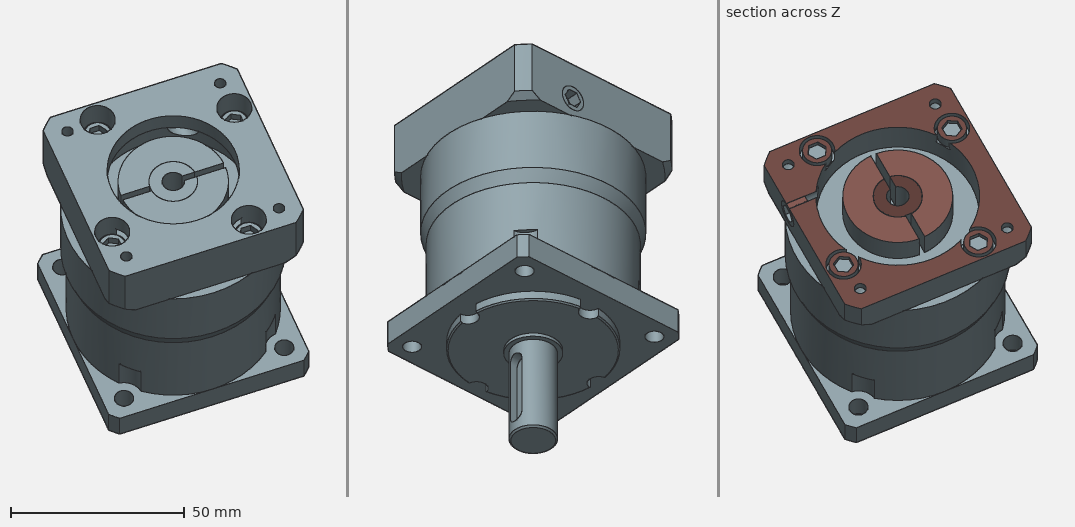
import cadquery as cq
import math


SHOULDER_Z = 30.9
PILOT_Z = 32.0
FLANGE_Z = 35.0
FLANGE_TOP_Z = 43.0
FRONT_BAND_TOP_Z = 52.6
CONE_BOTTOM_Z = 69.3
CONE_TOP_Z = 73.6
HOUSING_TOP_Z = 93.5
TOTAL_HEIGHT = 112.0

HOUSING_D = 65.0
BARREL_D = 61.8
FLANGE_WIDTH = BARREL_D
FLANGE_TURNED_D = 84.0
MOUNT_CIRCLE_D = 70.0
MOUNT_HOLE_D = 5.5
MOUNT_CLEARANCE_D = 11.0
PILOT_D = 50.0
PILOT_CHAMFER = 0.5
PILOT_NOTCH_D = 6.7

SHAFT_D = 14.0
SHOULDER_D = 17.0
SHAFT_CHAMFER = 0.6
KEYWAY_WIDTH = 5.0
KEYWAY_LENGTH = 23.9
KEYWAY_DEPTH = 3.0
KEYWAY_BOTTOM_Z = 3.7

ADAPTER_WIDTH = 60.0
ADAPTER_TURNED_D = 80.0
ADAPTER_CHAMFER = 2.0
MOTOR_PILOT_D = 38.1
MOTOR_PILOT_DEPTH = 5.8
CAVITY_D = 47.0
MOTOR_HOLE_SPACING = 47.2
MOTOR_HOLE_D = 3.2
MOTOR_HOLE_DEPTH = 10.1
DRILL_POINT_ANGLE = 118.0

SCREW_CIRCLE_D = 56.0
SCREW_FIRST_ANGLE = 30.0
SCREW_POCKET_D = 10.1
SCREW_POCKET_Z = 100.4
SCREW_HEAD_D = 8.5
SCREW_HEAD_TOP_Z = 105.2
SCREW_HEAD_CHAMFER = 0.5
SCREW_HEX_FLATS = 4.9
SCREW_HEX_DEPTH = 2.5

HUB_TOP_Z = TOTAL_HEIGHT - MOTOR_PILOT_DEPTH
HUB_D = 31.8
HUB_NECK_D = 20.0
HUB_NECK_HEIGHT = 2.0
SLOT_WIDTH = 1.7
SLEEVE_D = 14.0
SLEEVE_BORE_D = 6.4

PLUG_D = 8.1
PLUG_Y = 10.9
PLUG_Z = 100.0
PLUG_LENGTH = 6.0
PLUG_HEX_FLATS = 5.0
PLUG_HEX_DEPTH = 3.9


def cylinder(diameter, bottom_z, top_z):
    """Cylinder on the gearbox axis between two heights."""
    return cq.Workplane("XY", origin=(0, 0, bottom_z)).circle(diameter / 2).extrude(top_z - bottom_z)


def square_plate(width, turned, bottom_z, top_z):
    """Square block whose corners are cut by a turned body."""
    block = cq.Workplane("XY", origin=(0, 0, bottom_z)).rect(width, width).extrude(top_z - bottom_z)
    return block.intersect(turned)


def hex_diameter(flats):
    """Corner-to-corner size of a hexagon with the given width across flats."""
    return flats / math.cos(math.pi / 6)


def make_flange():
    """Square output flange with its mounting holes."""
    turned = cylinder(FLANGE_TURNED_D, FLANGE_Z, FLANGE_TOP_Z)
    flange = square_plate(FLANGE_WIDTH, turned, FLANGE_Z, FLANGE_TOP_Z)
    holes = (
        cq.Workplane("XY", origin=(0, 0, FLANGE_Z))
        .polarArray(MOUNT_CIRCLE_D / 2, 45, 360, 4)
        .circle(MOUNT_HOLE_D / 2)
        .extrude(FLANGE_TOP_Z - FLANGE_Z)
    )
    return flange.cut(holes)


def make_barrel():
    """Round gear body, relieved above the mounting holes for the screw heads."""
    profile = [
        (0, FLANGE_TOP_Z),
        (BARREL_D / 2, FLANGE_TOP_Z),
        (BARREL_D / 2, CONE_BOTTOM_Z),
        (HOUSING_D / 2, CONE_TOP_Z),
        (HOUSING_D / 2, HOUSING_TOP_Z),
        (0, HOUSING_TOP_Z),
    ]
    barrel = cq.Workplane("XZ").polyline(profile).close().revolve(360, (0, 0, 0), (0, 1, 0))
    reliefs = (
        cq.Workplane("XY", origin=(0, 0, FLANGE_TOP_Z))
        .polarArray(MOUNT_CIRCLE_D / 2, 45, 360, 4)
        .circle(MOUNT_CLEARANCE_D / 2)
        .extrude(FRONT_BAND_TOP_Z - FLANGE_TOP_Z)
    )
    return barrel.cut(reliefs)


def make_pilot():
    """Centring collar under the flange with four round notches in its rim."""
    pilot = cylinder(PILOT_D, PILOT_Z, FLANGE_Z).faces("<Z").chamfer(PILOT_CHAMFER)
    notches = (
        cq.Workplane("XY", origin=(0, 0, PILOT_Z))
        .polarArray(PILOT_D / 2, 0, 360, 4)
        .circle(PILOT_NOTCH_D / 2)
        .extrude(FLANGE_Z - PILOT_Z)
    )
    return pilot.cut(notches)


def make_shaft():
    """Output shaft with its shoulder and a round-ended keyway on the +Y side."""
    shaft = cylinder(SHAFT_D, 0, PILOT_Z).faces("<Z").chamfer(SHAFT_CHAMFER)
    shaft = shaft.union(cylinder(SHOULDER_D, SHOULDER_Z, PILOT_Z))
    keyway = (
        cq.Workplane("XZ", origin=(0, SHAFT_D / 2, KEYWAY_BOTTOM_Z + KEYWAY_LENGTH / 2))
        .slot2D(KEYWAY_LENGTH, KEYWAY_WIDTH, 90)
        .extrude(KEYWAY_DEPTH)
    )
    return shaft.cut(keyway)


def make_hub():
    """Clamping hub: a split disc on an unsplit neck, bored for the sleeve."""
    disc_bottom_z = HOUSING_TOP_Z + HUB_NECK_HEIGHT
    disc = cylinder(HUB_D, disc_bottom_z, HUB_TOP_Z)
    slot = (
        cq.Workplane("XY", origin=(0, 0, disc_bottom_z))
        .rect(SLOT_WIDTH, HUB_D)
        .extrude(HUB_TOP_Z - disc_bottom_z)
    )
    hub = cylinder(HUB_NECK_D, HOUSING_TOP_Z, disc_bottom_z).union(disc.cut(slot))
    return hub.cut(cylinder(SLEEVE_D, HOUSING_TOP_Z, HUB_TOP_Z))


def make_housing():
    """Gear housing with flange, pilot, output shaft and input hub in one piece."""
    output_side = make_barrel().union(make_flange()).union(make_pilot()).union(make_shaft())
    return output_side.union(make_hub())


def make_adapter_block():
    """Square adapter with turned corners that are chamfered at the bottom."""
    turned = cylinder(ADAPTER_TURNED_D, HOUSING_TOP_Z, TOTAL_HEIGHT).faces("<Z").chamfer(ADAPTER_CHAMFER)
    block = square_plate(ADAPTER_WIDTH, turned, HOUSING_TOP_Z, TOTAL_HEIGHT)
    block = block.cut(cylinder(MOTOR_PILOT_D, HUB_TOP_Z, TOTAL_HEIGHT))
    return block.cut(cylinder(CAVITY_D, HOUSING_TOP_Z, HUB_TOP_Z))


def make_motor_hole():
    """Blind drilled hole, entered from the top face at the origin of its plane."""
    radius = MOTOR_HOLE_D / 2
    point_height = radius / math.tan(math.radians(DRILL_POINT_ANGLE / 2))
    profile = [(0, 0), (radius, 0), (radius, -MOTOR_HOLE_DEPTH), (0, -MOTOR_HOLE_DEPTH - point_height)]
    hole = cq.Workplane("XZ").polyline(profile).close().revolve(360, (0, 0, 0), (0, 1, 0))
    return hole.translate((0, 0, TOTAL_HEIGHT))


def make_screw_head():
    """Socket head on the +X axis, chamfered on top."""
    head = (
        cq.Workplane("XY", origin=(SCREW_CIRCLE_D / 2, 0, SCREW_POCKET_Z))
        .circle(SCREW_HEAD_D / 2)
        .extrude(SCREW_HEAD_TOP_Z - SCREW_POCKET_Z)
        .faces(">Z")
        .chamfer(SCREW_HEAD_CHAMFER)
    )
    socket = (
        cq.Workplane("XY", origin=(SCREW_CIRCLE_D / 2, 0, SCREW_HEAD_TOP_Z))
        .polygon(6, hex_diameter(SCREW_HEX_FLATS))
        .extrude(-SCREW_HEX_DEPTH)
    )
    return head.cut(socket)


def make_adapter():
    """Motor adapter with its motor holes, recessed fixing screws and access hole."""
    adapter = make_adapter_block()
    motor_hole = make_motor_hole()
    half_spacing = MOTOR_HOLE_SPACING / 2
    for x in (-half_spacing, half_spacing):
        for y in (-half_spacing, half_spacing):
            adapter = adapter.cut(motor_hole.translate((x, y, 0)))

    pockets = (
        cq.Workplane("XY", origin=(0, 0, SCREW_POCKET_Z))
        .polarArray(SCREW_CIRCLE_D / 2, SCREW_FIRST_ANGLE, 360, 4)
        .circle(SCREW_POCKET_D / 2)
        .extrude(TOTAL_HEIGHT - SCREW_POCKET_Z)
    )
    adapter = adapter.cut(pockets)
    screw_head = make_screw_head()
    for quarter in range(4):
        angle = SCREW_FIRST_ANGLE + 90 * quarter
        adapter = adapter.union(screw_head.rotate((0, 0, 0), (0, 0, 1), angle))

    access_hole = (
        cq.Workplane("YZ", origin=(-ADAPTER_WIDTH / 2, PLUG_Y, PLUG_Z))
        .circle(PLUG_D / 2)
        .extrude(ADAPTER_WIDTH / 2)
    )
    return adapter.cut(access_hole)


def make_sleeve():
    """Bored sleeve in the hub, slotted through its wall on the +Y side."""
    sleeve = cylinder(SLEEVE_D, HOUSING_TOP_Z, HUB_TOP_Z)
    sleeve = sleeve.cut(cylinder(SLEEVE_BORE_D, HOUSING_TOP_Z, HUB_TOP_Z))
    slot = (
        cq.Workplane("XY", origin=(0, SLEEVE_D / 4, HOUSING_TOP_Z))
        .rect(SLOT_WIDTH, SLEEVE_D / 2)
        .extrude(HUB_TOP_Z - HOUSING_TOP_Z)
    )
    return sleeve.cut(slot)


def make_plug():
    """Plug flush with the -X side of the adapter, with a hexagon socket."""
    base = cq.Workplane("YZ", origin=(-ADAPTER_WIDTH / 2, PLUG_Y, PLUG_Z))
    plug = base.circle(PLUG_D / 2).extrude(PLUG_LENGTH)
    socket = base.polygon(6, hex_diameter(PLUG_HEX_FLATS)).extrude(PLUG_HEX_DEPTH)
    return plug.cut(socket)


housing = make_housing()
adapter = make_adapter()
sleeve = make_sleeve()
plug = make_plug()

result = cq.Compound.makeCompound([housing.val(), adapter.val(), sleeve.val(), plug.val()])